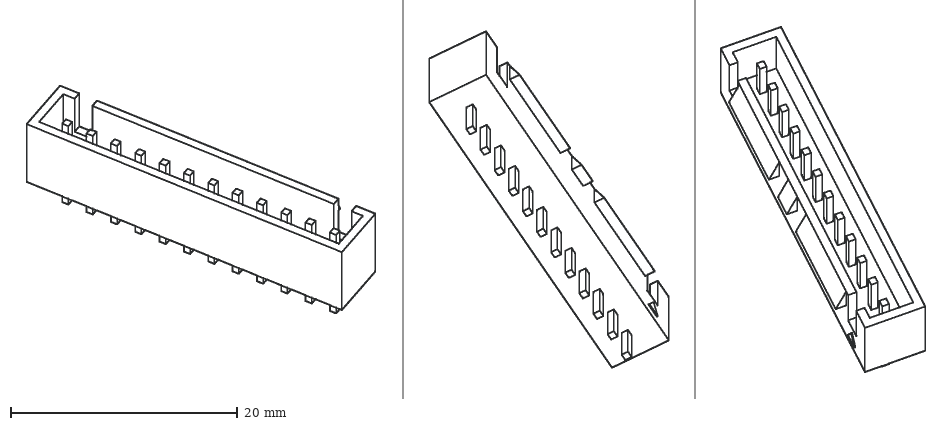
import cadquery as cq
import math


body_length = 32.4
body_width = 5.8
body_height = 7.0
wall = 0.8
floor_thickness = 2.0

slot_width = 1.8
slot_end_margin = 1.98
slot_depth = 4.0
slot_center_x = body_length / 2 - slot_end_margin - slot_width / 2

latch_reach = 1.0
latch_height = 2.2
center_latch_width = 2.0
latch_gap = 2.0
side_latch_length = 8.97

mark_side = 1.5
mark_height = mark_side * math.sqrt(3) / 2
mark_base_z = 1.0
mark_relief = 0.1

pin_count = 12
pin_row_span = 27.5
pin_pitch = pin_row_span / (pin_count - 1)
pin_size = 0.65
pin_tail = 3.5
pin_top_z = 6.0

back_y = body_width / 2


def make_housing():
    """Open-topped box with a solid floor."""
    block = cq.Workplane("XY").box(body_length, body_width, body_height, centered=(True, True, False))
    cavity = (
        cq.Workplane("XY", origin=(0, 0, floor_thickness))
        .rect(body_length - 2 * wall, body_width - 2 * wall)
        .extrude(body_height - floor_thickness)
    )
    return block.cut(cavity)


def make_slot(center_x):
    """Cutter for one slot, open at the top, through the back wall."""
    return (
        cq.Workplane("XY", origin=(center_x, back_y - wall / 2, body_height - slot_depth))
        .rect(slot_width, wall)
        .extrude(slot_depth)
    )


def make_latch(start_x, length):
    """Wedge that widens downward from the top edge and ends in a flat catch."""
    catch_z = body_height - latch_height
    profile = [(back_y, body_height), (back_y + latch_reach, catch_z), (back_y, catch_z)]
    return cq.Workplane("YZ", origin=(start_x, 0, 0)).polyline(profile).close().extrude(length)


def make_mark():
    """Equilateral triangle, point upward, raised from the back wall below the first slot."""
    corners = [(-mark_side / 2, 0), (mark_side / 2, 0), (0, mark_height)]
    return (
        cq.Workplane("XZ", origin=(-slot_center_x, back_y, mark_base_z))
        .polyline(corners)
        .close()
        .extrude(-mark_relief)
    )


def make_pins():
    """Row of square pins running through the floor."""
    return (
        cq.Workplane("XY", origin=(0, 0, -pin_tail))
        .rarray(pin_pitch, 0.32, pin_count, 1)
        .rect(pin_size, pin_size)
        .extrude(pin_tail + pin_top_z)
    )


result = make_housing()

for side in (-1, 1):
    result = result.cut(make_slot(side * slot_center_x))

side_latch_start = center_latch_width / 2 + latch_gap
result = result.union(make_latch(-center_latch_width / 2, center_latch_width))
result = result.union(make_latch(side_latch_start, side_latch_length))
result = result.union(make_latch(-side_latch_start - side_latch_length, side_latch_length))

result = result.union(make_mark()).union(make_pins())